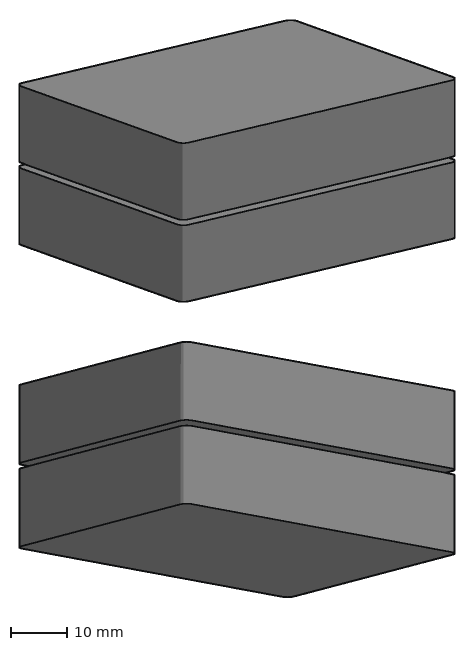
import cadquery as cq

WIDTH = 46.8
LENGTH = 63.0
TOTAL_HEIGHT = 29.4
BLOCK_COUNT = 2
GAP = 1.0
CORNER_DIAMETER = 3.0

BLOCK_HEIGHT = (TOTAL_HEIGHT - GAP * (BLOCK_COUNT - 1)) / BLOCK_COUNT


def rounded_block(base_z):
    """Plain block with rounded upright corners, standing on base_z."""
    return (
        cq.Workplane("XY", origin=(0, 0, base_z))
        .rect(WIDTH, LENGTH)
        .extrude(BLOCK_HEIGHT)
        .edges("|Z")
        .fillet(CORNER_DIAMETER / 2)
    )


blocks = []
for level in range(BLOCK_COUNT):
    blocks.append(rounded_block(level * (BLOCK_HEIGHT + GAP)))

result = cq.Compound.makeCompound([block.val() for block in blocks])